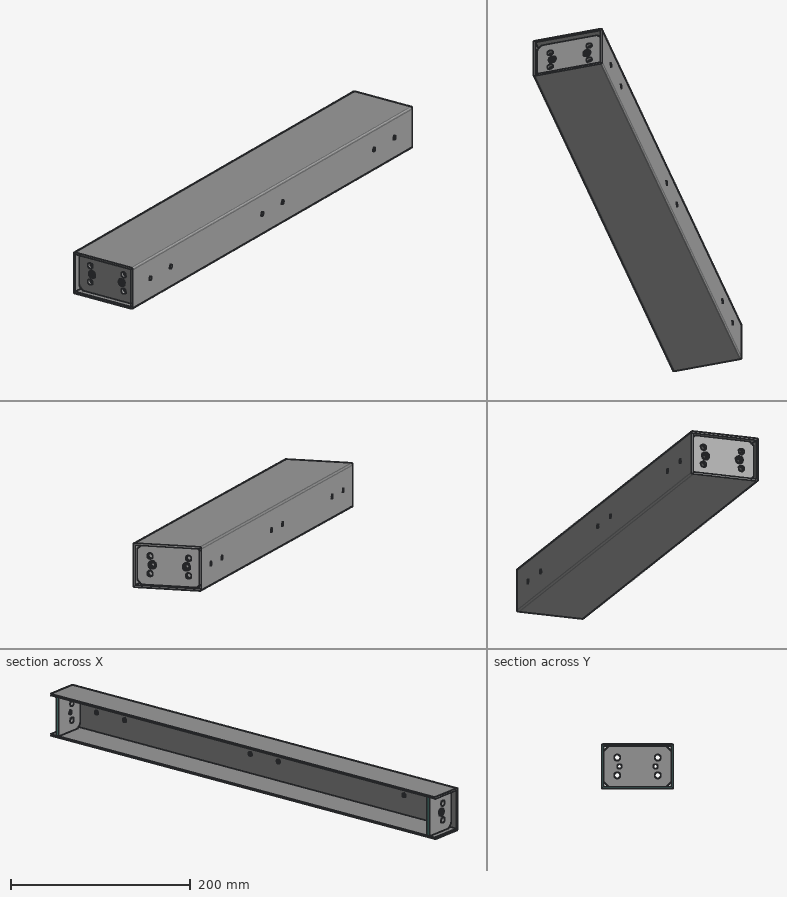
import cadquery as cq

LENGTH = 550.0
WIDTH = 80.0
HEIGHT = 50.0
WALL = 2.5
OUTER_RADIUS = 2.0
BORE_WIDTH = WIDTH - 2 * WALL
BORE_HEIGHT = HEIGHT - 2 * WALL

SIDE_HOLE_DIAMETER = 4.9
SIDE_HOLE_PITCH = 40.0
SIDE_PAIR_SPACING = 220.0

PLATE_THICKNESS = 5.0
PLATE_RECESS = 7.0
PLATE_CORNER_CHAMFER = 5.0

PLAIN_HOLE_DIAMETER = 6.5
PLAIN_HOLE_SPACING_X = 45.0
PLAIN_HOLE_SPACING_Z = 20.0
SCREW_HOLE_DIAMETER = 4.9
SCREW_HOLE_SPACING = 40.0
COUNTERBORE_DIAMETER = 9.0
COUNTERBORE_DEPTH = PLATE_THICKNESS / 2


def make_tube():
    """Square-bored tube with rounded outer edges and three pairs of cross holes."""
    outside = cq.Workplane("XY").box(WIDTH, LENGTH, HEIGHT).edges("|Y").fillet(OUTER_RADIUS)
    bore = cq.Workplane("XY").box(BORE_WIDTH, LENGTH, BORE_HEIGHT)
    hole_places = [
        (pair * SIDE_PAIR_SPACING + side * SIDE_HOLE_PITCH / 2, 0)
        for pair in (-1, 0, 1)
        for side in (-1, 1)
    ]
    side_holes = (
        cq.Workplane("YZ")
        .pushPoints(hole_places)
        .circle(SIDE_HOLE_DIAMETER / 2)
        .extrude(WIDTH, both=True)
    )
    return outside.cut(bore).cut(side_holes)


def make_end_plate():
    """Plate for the -Y end of the tube, counterbored from its outer face."""
    plate = (
        cq.Workplane("XY")
        .box(BORE_WIDTH, PLATE_THICKNESS, BORE_HEIGHT)
        .edges("|Y")
        .chamfer(PLATE_CORNER_CHAMFER)
    )
    plate = (
        plate.faces("<Y")
        .workplane(centerOption="CenterOfBoundBox")
        .rarray(PLAIN_HOLE_SPACING_X, PLAIN_HOLE_SPACING_Z, 2, 2)
        .hole(PLAIN_HOLE_DIAMETER)
    )
    plate = (
        plate.faces("<Y")
        .workplane(centerOption="CenterOfBoundBox")
        .rarray(SCREW_HOLE_SPACING, 5.5, 2, 1)
        .cboreHole(SCREW_HOLE_DIAMETER, COUNTERBORE_DIAMETER, COUNTERBORE_DEPTH)
    )
    outer_face_y = -LENGTH / 2 + PLATE_RECESS
    return plate.translate((0, outer_face_y + PLATE_THICKNESS / 2, 0))


tube = make_tube()

end_plates = [
    make_end_plate().rotate((0, 0, 0), (0, 0, 1), angle)
    for angle in (0, 180)
]

result = cq.Compound.makeCompound([tube.val(), *[plate.val() for plate in end_plates]])